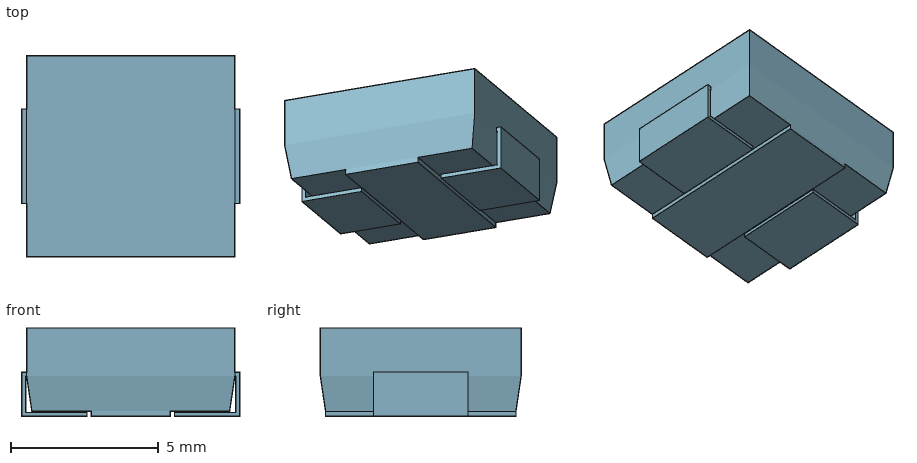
import cadquery as cq

TOTAL_LENGTH = 7.39
BODY_WIDTH = 6.81
TOTAL_HEIGHT = 3.0

BODY_INSET = 0.16
BODY_LENGTH = TOTAL_LENGTH - 2 * BODY_INSET
PARTING_HEIGHT = 1.37
STANDOFF = 0.18
TAPER_INSET = 0.18
PAD_LENGTH = 2.69

TERMINAL_WIDTH = 3.21
TERMINAL_THICKNESS = 0.14
TERMINAL_HEIGHT = PARTING_HEIGHT + TERMINAL_THICKNESS
FOOT_LENGTH = 2.22


def make_body():
    """Straight block above a tapered block, resting on a central pad."""
    base_length = BODY_LENGTH - 2 * TAPER_INSET
    base_width = BODY_WIDTH - 2 * TAPER_INSET
    upper = (
        cq.Workplane("XY", origin=(0, 0, PARTING_HEIGHT))
        .rect(BODY_LENGTH, BODY_WIDTH)
        .extrude(TOTAL_HEIGHT - PARTING_HEIGHT)
    )
    lower = (
        cq.Workplane("XY", origin=(0, 0, STANDOFF))
        .rect(base_length, base_width)
        .workplane(offset=PARTING_HEIGHT - STANDOFF)
        .rect(BODY_LENGTH, BODY_WIDTH)
        .loft(ruled=True)
    )
    pad = cq.Workplane("XY").rect(PAD_LENGTH, base_width).extrude(STANDOFF)
    return upper.union(lower).union(pad)


def make_terminal(side):
    """C-shaped strip at one end; side is -1 for the -X end and +1 for the +X end."""
    outer_x = side * TOTAL_LENGTH / 2
    inner_x = side * (TOTAL_LENGTH / 2 - TERMINAL_THICKNESS)
    body_x = side * BODY_LENGTH / 2
    foot_x = side * (TOTAL_LENGTH / 2 - FOOT_LENGTH)
    profile = [
        (foot_x, 0),
        (outer_x, 0),
        (outer_x, TERMINAL_HEIGHT),
        (body_x, TERMINAL_HEIGHT),
        (body_x, PARTING_HEIGHT),
        (inner_x, PARTING_HEIGHT),
        (inner_x, TERMINAL_THICKNESS),
        (foot_x, TERMINAL_THICKNESS),
    ]
    return cq.Workplane("XZ").polyline(profile).close().extrude(TERMINAL_WIDTH / 2, both=True)


body = make_body()
terminals = [make_terminal(side) for side in (-1, 1)]

result = cq.Compound.makeCompound([body.val(), *[terminal.val() for terminal in terminals]])